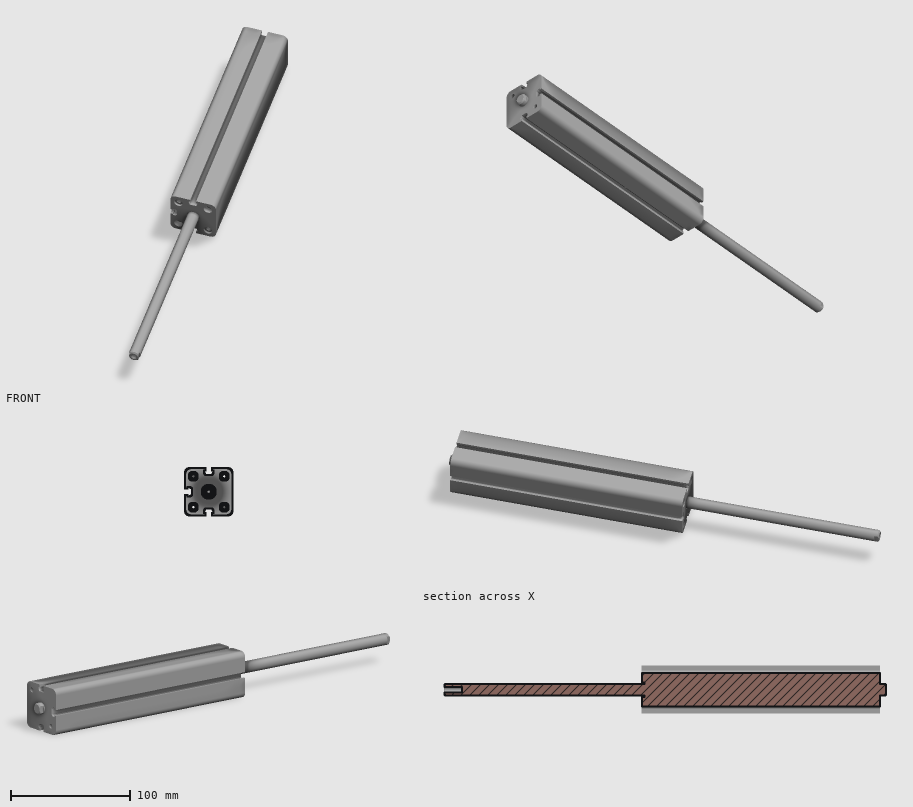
import cadquery as cq

total_length = 370.5
body_length = 200.0
stub_length = 5.0
rod_tip = -total_length / 2
stub_end = total_length / 2
rear_face = stub_end - stub_length
front_face = rear_face - body_length

body_side = 40.0
corner_radius = 5.0

groove_mouth = 5.2
groove_width = 7.8
groove_floor = 5.5
groove_lip = 2.2
groove_taper_start = 4.0
groove_depth = 6.0
groove_turns = (0, -90, 180)

hole_offset = 13.0
counterbore_diameter = 7.5
counterbore_depth = 5.2
through_lead_diameter = 5.2
through_lead_depth = 11.0
through_diameter = 4.0

screw_recess = 2.0
socket_diameter = 4.0
socket_depth = 3.0

rod_diameter = 10.0
rod_chamfer = 1.0
flats_width = 7.8
flats_length = 3.7
thread_diameter = 4.0
thread_depth = 15.0
thread_mouth_diameter = 5.2
bearing_diameter = 11.5
bearing_recess = 2.0


def cylinder(y_start, length, diameter, x=0, z=0):
    """Cylinder running from y_start toward +Y."""
    return cq.Workplane("XZ", origin=(x, y_start, z)).circle(diameter / 2).extrude(-length)


def front_sketch():
    """Sketch plane on the front face; negative extrusions run into the body."""
    return cq.Workplane("XZ", origin=(0, front_face, 0))


def make_body():
    """Square bar with rounded long edges."""
    body = front_sketch().rect(body_side, body_side).extrude(-body_length)
    return body.edges("|Y").fillet(corner_radius)


def make_groove():
    """Cutter for the groove in the top side."""
    top = body_side / 2
    right_half = [
        (groove_mouth / 2, top),
        (groove_mouth / 2, top - groove_lip),
        (groove_width / 2, top - groove_lip),
        (groove_width / 2, top - groove_taper_start),
        (groove_floor / 2, top - groove_depth),
    ]
    left_half = [(-x, z) for x, z in reversed(right_half)]
    return front_sketch().polyline(right_half + left_half).close().extrude(-body_length)


def make_through_hole(x, z):
    """Cutter for a stepped hole that is open at the rear face."""
    hole = cylinder(front_face, counterbore_depth, counterbore_diameter, x, z)
    hole = hole.union(cylinder(front_face, through_lead_depth, through_lead_diameter, x, z))
    return hole.union(cylinder(front_face, body_length, through_diameter, x, z))


def make_screw_recess(x, z):
    """Cutter that leaves a screw head just below the front face."""
    recess = cylinder(front_face, screw_recess, counterbore_diameter, x, z)
    return recess.union(cylinder(front_face, screw_recess + socket_depth, socket_diameter, x, z))


def make_rod():
    """Rod over the full length, with two flats at each chamfered end."""
    rod = cylinder(rod_tip, total_length, rod_diameter).faces("<Y or >Y").chamfer(rod_chamfer)
    flat = cq.Workplane("XY").box(rod_diameter, 2 * flats_length, rod_diameter)
    flat_x = (flats_width + rod_diameter) / 2
    for end in (rod_tip, stub_end):
        for side in (-1, 1):
            rod = rod.cut(flat.translate((side * flat_x, end, 0)))
    return rod


def make_rod_thread():
    """Cutter for the tapped hole in the rod tip, with a 45 degree countersink."""
    hole = cylinder(rod_tip, thread_depth, thread_diameter)
    countersink_depth = (thread_mouth_diameter - thread_diameter) / 2
    mouth = cq.Workplane("XZ", origin=(0, rod_tip, 0)).circle(thread_mouth_diameter / 2)
    return hole.union(mouth.extrude(-countersink_depth, taper=45))


body = make_body()
for turn in groove_turns:
    body = body.cut(make_groove().rotate((0, 0, 0), (0, 1, 0), turn))
for x in (-hole_offset, hole_offset):
    for z in (-hole_offset, hole_offset):
        hole = make_through_hole(x, z) if x == z else make_screw_recess(x, z)
        body = body.cut(hole)
body = body.cut(cylinder(front_face, bearing_recess, bearing_diameter))

result = body.union(make_rod()).cut(make_rod_thread())